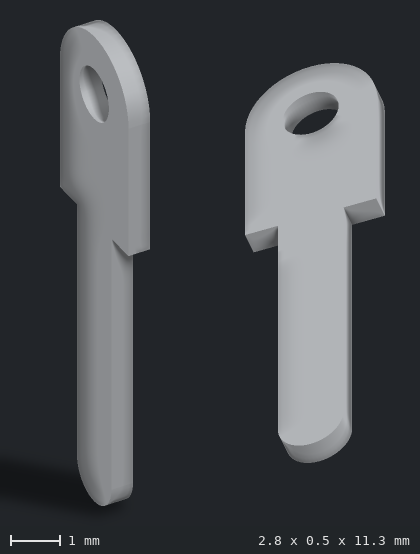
import cadquery as cq

total_length = 11.3
head_width = 2.8
shank_width = 1.4
shank_length = 6.8
thickness = 0.5
hole_diameter = 1.2

head_radius = head_width / 2
shank_radius = shank_width / 2
head_arc_center_z = total_length - head_radius

outline = (
    cq.Workplane("XZ", origin=(0, thickness / 2, 0))
    .moveTo(-shank_radius, shank_radius)
    .threePointArc((0, 0), (shank_radius, shank_radius))
    .lineTo(shank_radius, shank_length)
    .lineTo(head_radius, shank_length)
    .lineTo(head_radius, head_arc_center_z)
    .threePointArc((0, total_length), (-head_radius, head_arc_center_z))
    .lineTo(-head_radius, shank_length)
    .lineTo(-shank_radius, shank_length)
    .close()
)
tag = outline.extrude(thickness)

hole = (
    cq.Workplane("XZ", origin=(0, thickness / 2, head_arc_center_z))
    .circle(hole_diameter / 2)
    .extrude(thickness)
)

result = tag.cut(hole)